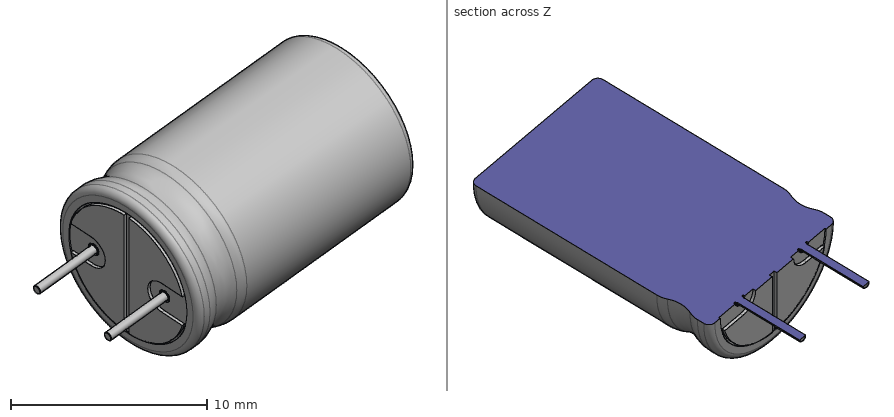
import cadquery as cq
import math

overall_length = 20.1

can_radius = 5.0
can_length = 16.0
edge_radius = 0.4

groove_start = 0.82
shoulder_width = 0.6
waist_width = 1.5
groove_depth = 0.3

seal_radius = 8.35 / 2
seal_recess = 0.08
pad_height = 0.1
pad_radius = 4.06
vent_width = 0.35
notch_width = 2.0

lead_spacing = 5.0
lead_positions = (-lead_spacing / 2, lead_spacing / 2)
lead_diameter = 0.5
lead_tip_chamfer = 0.03
lead_end = can_length - overall_length
foot_diameter = 0.56
pocket_diameter = 0.72
pocket_depth = 0.1
pocket_floor = seal_recess + pocket_depth


def along_y(y_start, y_end):
    """Workplane at y_start and the signed distance that extrudes it to y_end."""
    return cq.Workplane("XZ", origin=(0, y_start, 0)), y_start - y_end


def cylinder(diameter, y_start, y_end, x=0):
    plane, distance = along_y(y_start, y_end)
    return plane.center(x, 0).circle(diameter / 2).extrude(distance)


def box(width, height, y_start, y_end, x=0):
    plane, distance = along_y(y_start, y_end)
    return plane.center(x, 0).rect(width, height).extrude(distance)


def make_can():
    """Solid of revolution with rounded ends and the crimp groove."""
    half_waist = waist_width / 2
    bend = 2 * math.atan(groove_depth / (shoulder_width + half_waist))
    shoulder_radius = shoulder_width / math.sin(bend)

    def radius_on_shoulder(angle):
        return can_radius - shoulder_radius * (1 - math.cos(angle))

    middle_offset = shoulder_radius * math.sin(bend / 2)
    middle_radius = radius_on_shoulder(bend / 2)
    foot_radius = radius_on_shoulder(bend)
    waist_radius = can_radius - groove_depth

    waist_start = groove_start + shoulder_width
    waist_end = waist_start + waist_width
    groove_end = waist_end + shoulder_width

    profile = (
        cq.Workplane("XY")
        .lineTo(can_radius, 0)
        .lineTo(can_radius, groove_start)
        .threePointArc((middle_radius, groove_start + middle_offset), (foot_radius, waist_start))
        .threePointArc((waist_radius, waist_start + half_waist), (foot_radius, waist_end))
        .threePointArc((middle_radius, groove_end - middle_offset), (can_radius, groove_end))
        .lineTo(can_radius, can_length)
        .lineTo(0, can_length)
        .close()
    )
    can = profile.revolve(360, (0, 0, 0), (0, 1, 0))
    return can.faces("<Y or >Y").edges().fillet(edge_radius)


def cut_seal_recess(body):
    return body.cut(cylinder(2 * seal_radius, seal_recess, 0))


def make_seal_pads():
    """Raised pads of the seal, split by the vent slot and notched around each lead."""
    pads = cylinder(2 * pad_radius, seal_recess, -pad_height)
    pads = pads.cut(box(vent_width, 2 * pad_radius, seal_recess, -pad_height))
    for lead_x in lead_positions:
        straight_center = lead_x + math.copysign(pad_radius / 2, lead_x)
        notch_round = cylinder(notch_width, seal_recess, -pad_height, lead_x)
        notch_straight = box(pad_radius, notch_width, seal_recess, -pad_height, straight_center)
        pads = pads.cut(notch_round).cut(notch_straight)
    return pads


def add_lead(body, lead_x):
    """Lead with a chamfered tip, its foot flush with the seal floor inside the pocket."""
    pocket = cylinder(pocket_diameter, seal_recess, pocket_floor, lead_x)
    foot = cylinder(foot_diameter, seal_recess, pocket_floor, lead_x)
    lead = cylinder(lead_diameter, pocket_floor, lead_end, lead_x)
    lead = lead.faces("<Y").chamfer(lead_tip_chamfer)
    return body.cut(pocket).union(foot).union(lead)


result = cut_seal_recess(make_can()).union(make_seal_pads())
for lead_position in lead_positions:
    result = add_lead(result, lead_position)